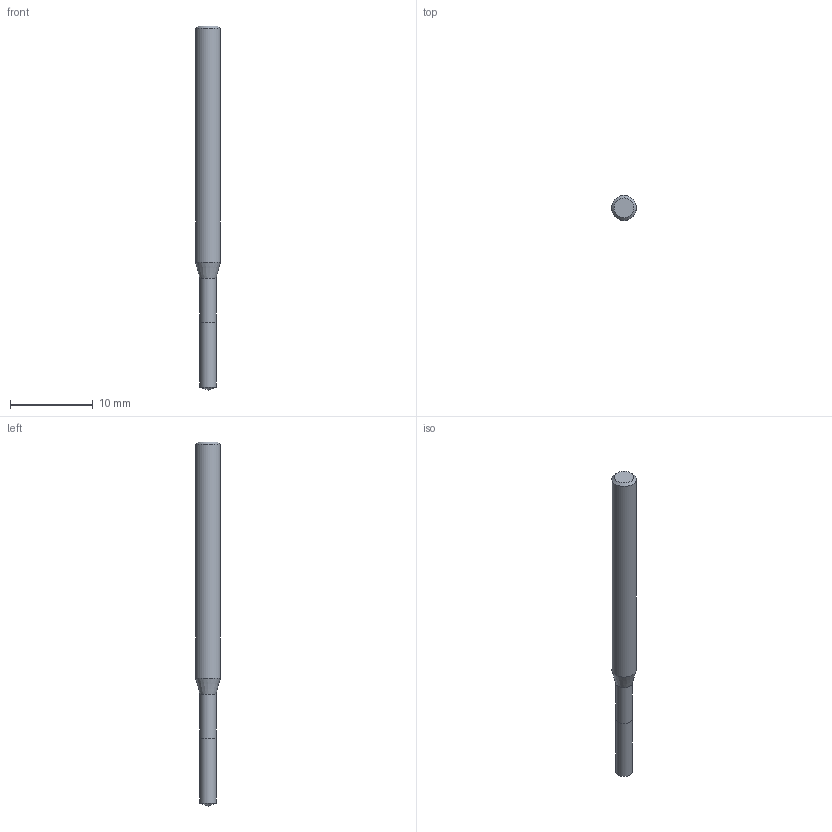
import cadquery as cq
import math

total_length = 44.0
cutter_length = 8.2
neck_length = 5.3

shank_diameter = 3.0
drill_diameter = 1.95

point_angle = 140.0
cone_half_angle = 15.0
shank_chamfer = 0.3

shank_radius = shank_diameter / 2
drill_radius = drill_diameter / 2
point_height = drill_radius / math.tan(math.radians(point_angle / 2))
cone_length = (shank_radius - drill_radius) / math.tan(math.radians(cone_half_angle))
neck_top = cutter_length + neck_length
cone_top = neck_top + cone_length


def revolve_profile(points):
    """Revolve a closed outline of (radius, height) points about the Z axis."""
    return cq.Workplane("XZ").polyline(points).close().revolve(360, (0, 0, 0), (0, 1, 0))


shank = revolve_profile(
    [
        (0, cutter_length),
        (drill_radius, cutter_length),
        (drill_radius, neck_top),
        (shank_radius, cone_top),
        (shank_radius, total_length - shank_chamfer),
        (shank_radius - shank_chamfer, total_length),
        (0, total_length),
    ]
)

cutter = revolve_profile(
    [
        (0, 0),
        (drill_radius, point_height),
        (drill_radius, cutter_length),
        (0, cutter_length),
    ]
)

result = cq.Compound.makeCompound([shank.val(), cutter.val()])